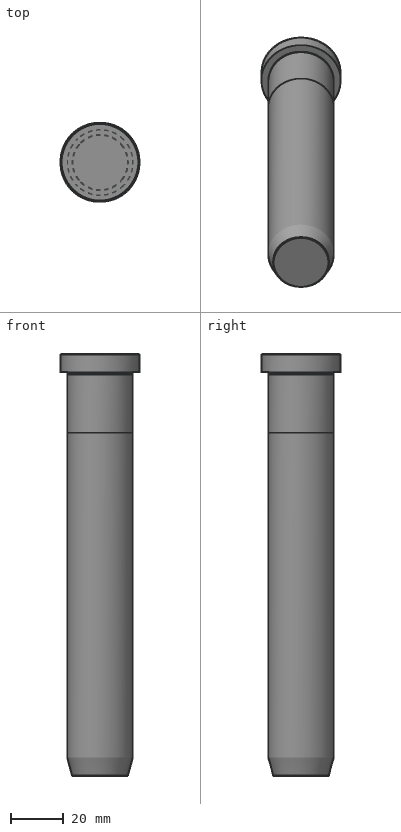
import cadquery as cq

total_length = 160.0
head_diameter = 30.0
shank_diameter = 25.0

head_height = 7.0
head_chamfer = 0.56
groove_width = 1.0
groove_flat = 0.5
groove_depth = 0.2
upper_length = 30.0

lead_length = 7.0
tip_diameter = 21.3
tip_chamfer = 0.3

head_radius = head_diameter / 2
shank_radius = shank_diameter / 2
groove_radius = shank_radius - groove_depth
tip_radius = tip_diameter / 2
joint_z = total_length - upper_length
head_bottom_z = total_length - head_height


def make_headed_section():
    """Chamfered head, relief groove with a sloped exit below it, and the fitted upper shank."""
    groove_bottom_z = head_bottom_z - groove_width
    return (
        cq.Workplane("XZ")
        .moveTo(0, joint_z)
        .lineTo(shank_radius, joint_z)
        .lineTo(shank_radius, groove_bottom_z)
        .lineTo(groove_radius, head_bottom_z - groove_flat)
        .lineTo(groove_radius, head_bottom_z)
        .lineTo(head_radius, head_bottom_z)
        .lineTo(head_radius, total_length - head_chamfer)
        .lineTo(head_radius - head_chamfer, total_length)
        .lineTo(0, total_length)
        .close()
        .revolve(360, (0, 0), (0, 1))
    )


def make_guide_section():
    """Long lower shank with a tapered lead-in and a chamfered tip."""
    return (
        cq.Workplane("XZ")
        .lineTo(tip_radius - tip_chamfer, 0)
        .lineTo(tip_radius, tip_chamfer)
        .lineTo(shank_radius, lead_length)
        .lineTo(shank_radius, joint_z)
        .lineTo(0, joint_z)
        .close()
        .revolve(360, (0, 0), (0, 1))
    )


headed_section = make_headed_section()
guide_section = make_guide_section()

result = cq.Compound.makeCompound([headed_section.val(), guide_section.val()])